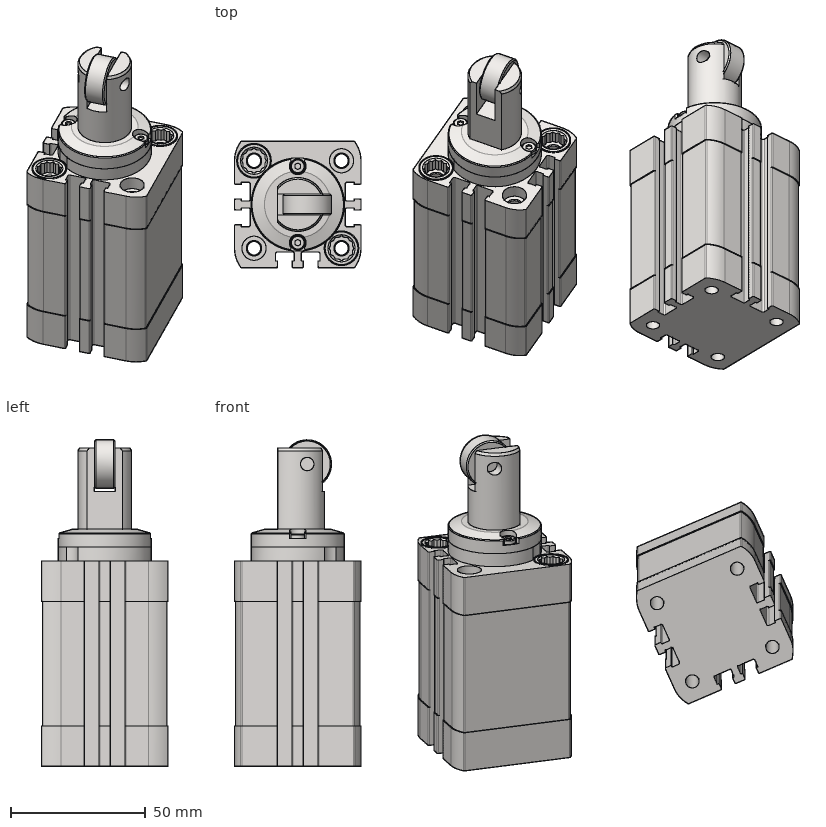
import cadquery as cq
import math

SELECT_MARGIN = 0.1

HALF_SIDE = 23.5
BODY_HEIGHT = 76.1
CAP_HEIGHT = 15.0
TUBE_INSET = 0.4
CORNER_RADIUS = 11.9
CORNER_TANGENT_Y = 16.2
CORNER_EDGE_RADIUS = 0.6
FLANGE_DIAMETER = 34.6
FLANGE_HEIGHT = 5.1
FLANGE_TOP = BODY_HEIGHT + FLANGE_HEIGHT

SLOT_MOUTH_HALF = 7.5
SLOT_INNER_HALF = 8.2
SLOT_LIP_DEPTH = 2.5
SLOT_DEPTH = 5.8
RIB_HEAD_HALF = 2.0
RIB_NECK_HALF = 1.3
SLOT_EDGE_RADIUS = 0.4
SLOT_ROOT_RADIUS = 0.6
SLOT_TURNS = (0, 90, -90)

HOLE_OFFSET = 16.2
HOLE_DIAMETER = 5.0
HOLE_MOUTH_DIAMETER = 5.7
COUNTERBORE_DIAMETER = 9.0
COUNTERBORE_DEPTH = 5.0
RIM_DIAMETER = 12.8
FLANGE_CLEARANCE_DIAMETER = 13.3
RIM_GROOVE = 0.4
SOCKET_ACROSS_FLATS = 8.0
SOCKET_MOUTH_DIAMETER = 10.0
SOCKET_MOUTH_DEPTH = 0.7
SOCKET_DEPTH = 5.2

COVER_TOP = 87.8
COVER_EDGE_Z = 86.2
COVER_EDGE_CHAMFER = 0.4
COVER_FLAT_DIAMETER = 24.7
SCREW_OFFSET = 14.2
SCREW_TURNS = (0, 180)
POCKET_DIAMETER = 6.2
POCKET_OPENING = 4.8
FLARE_START = 16.3
POCKET_FLOOR_Z = 84.3

SCREW_HEAD_DIAMETER = 5.5
SCREW_HEAD_HEIGHT = 1.7
SCREW_HEAD_CHAMFER = 0.4
SCREW_SHANK_DIAMETER = 3.0
SCREW_HEX_CORNERS = 2.4
SCREW_HEX_DEPTH = 0.7

ROD_DIAMETER = 20.0
ROD_FLAT_X = -7.5
ROD_TOP = 118.0
ROD_CHAMFER_HEIGHT = 1.1
ROD_CHAMFER_WIDTH = 0.6
FORK_WIDTH = 7.6
FORK_FLOOR_Z = 101.9
ROLLER_DIAMETER = 18.0
ROLLER_X = 3.5
OVERALL_HEIGHT = 121.0
ROLLER_Z = OVERALL_HEIGHT - ROLLER_DIAMETER / 2
ROLLER_CHAMFER = 0.5
AXLE_DIAMETER = 5.0
AXLE_LENGTH = 10.0


def cylinder(diameter, bottom, top, x=0.0, y=0.0):
    """Upright cylinder between two heights."""
    disc = cq.Workplane("XY", origin=(x, y, bottom)).circle(diameter / 2)
    return disc.extrude(top - bottom)


def cone(bottom_diameter, top_diameter, bottom, top, x=0.0, y=0.0):
    """Upright truncated cone between two heights."""
    solid = cq.Solid.makeCone(
        bottom_diameter / 2, top_diameter / 2, top - bottom, cq.Vector(x, y, bottom)
    )
    return cq.Workplane(solid)


def body_block(inset, bottom, top):
    """Square block with flat sides and arc corners, shrunk by an inset."""
    half = HALF_SIDE - inset
    radius = CORNER_RADIUS - inset
    center_x = HALF_SIDE - CORNER_RADIUS
    rise = half - CORNER_TANGENT_Y
    end_x = center_x + math.sqrt(radius**2 - rise**2)
    mid_angle = math.asin(rise / radius) / 2
    mid_x = center_x + radius * math.cos(mid_angle)
    mid_y = CORNER_TANGENT_Y + radius * math.sin(mid_angle)
    outline = (
        cq.Workplane("XY", origin=(0, 0, bottom))
        .moveTo(half, -CORNER_TANGENT_Y)
        .lineTo(half, CORNER_TANGENT_Y)
        .threePointArc((mid_x, mid_y), (end_x, half))
        .lineTo(-end_x, half)
        .threePointArc((-mid_x, mid_y), (-half, CORNER_TANGENT_Y))
        .lineTo(-half, -CORNER_TANGENT_Y)
        .threePointArc((-mid_x, -mid_y), (-end_x, -half))
        .lineTo(end_x, -half)
        .threePointArc((mid_x, -mid_y), (half, -CORNER_TANGENT_Y))
        .close()
    )
    block = outline.extrude(top - bottom)
    arc_ends = cq.selectors.BoxSelector(
        (-end_x - SELECT_MARGIN, -half - SELECT_MARGIN, bottom),
        (end_x + SELECT_MARGIN, half + SELECT_MARGIN, top),
    )
    return block.edges("|Z").edges(arc_ends).fillet(CORNER_EDGE_RADIUS)


def bar(half_width, y_range, z_range):
    """Upright bar, symmetric about X = 0, filling a range of Y and a range of Z."""
    return cq.Workplane("XY").box(
        2 * half_width, y_range[1] - y_range[0], z_range[1] - z_range[0], centered=(True, False, False)
    ).translate((0, y_range[0], z_range[0]))


def cut_t_slot(block, inset, bottom, top):
    """Cut a T-slot into the -Y side, leave its T-shaped rib and round the edges."""
    face_y = inset - HALF_SIDE
    lip_y = SLOT_LIP_DEPTH - HALF_SIDE
    floor_y = SLOT_DEPTH - HALF_SIDE
    outer, inner, height = (face_y, lip_y), (lip_y, floor_y), (bottom, top)
    void = bar(SLOT_MOUTH_HALF, outer, height).union(bar(SLOT_INNER_HALF, inner, height))
    rib = bar(RIB_HEAD_HALF, outer, height).union(bar(RIB_NECK_HALF, inner, height))
    slotted = block.cut(void.cut(rib))
    margin = SELECT_MARGIN
    face_edges = cq.selectors.BoxSelector(
        (-SLOT_MOUTH_HALF - margin, face_y - margin, bottom),
        (SLOT_MOUTH_HALF + margin, face_y + margin, top),
    )
    neck_edges = cq.selectors.BoxSelector(
        (-RIB_NECK_HALF - margin, lip_y - margin, bottom),
        (RIB_NECK_HALF + margin, floor_y + margin, top),
    )
    slotted = slotted.edges("|Z").edges(face_edges + neck_edges).fillet(SLOT_EDGE_RADIUS)
    for side in (1, -1):
        corner_x = side * SLOT_INNER_HALF
        root_edge = cq.selectors.BoxSelector(
            (corner_x - margin, floor_y - margin, bottom), (corner_x + margin, floor_y + margin, top)
        )
        slotted = slotted.edges("|Z").edges(root_edge).fillet(SLOT_ROOT_RADIUS)
    return slotted


def body_section(inset, bottom, top):
    """Stretch of the body with T-slots on three sides."""
    section = body_block(inset, bottom, top)
    for turn in SLOT_TURNS:
        turned = section.rotate((0, 0, 0), (0, 0, 1), -turn)
        section = cut_t_slot(turned, inset, bottom, top).rotate((0, 0, 0), (0, 0, 1), turn)
    return section


def stepped_hole(x, y, floor_z):
    """Through hole with a chamfered mouth at the floor of its recess."""
    mouth_depth = (HOLE_MOUTH_DIAMETER - HOLE_DIAMETER) / 2
    mouth = cone(HOLE_DIAMETER, HOLE_MOUTH_DIAMETER, floor_z - mouth_depth, floor_z, x, y)
    return cylinder(HOLE_DIAMETER, 0, floor_z, x, y).union(mouth)


def counterbored_corner(x, y):
    """Void of a plain counterbored corner hole."""
    floor_z = BODY_HEIGHT - COUNTERBORE_DEPTH
    counterbore = cylinder(COUNTERBORE_DIAMETER, floor_z, BODY_HEIGHT, x, y)
    return counterbore.union(stepped_hole(x, y, floor_z))


def socketed_corner(x, y):
    """Void of a corner hole below a twelve-point socket with a grooved rim."""
    floor_z = BODY_HEIGHT - SOCKET_DEPTH
    groove_z = BODY_HEIGHT - RIM_GROOVE
    corner_diameter = SOCKET_ACROSS_FLATS / math.cos(math.pi / 6)
    hexagon = cq.Workplane("XY").polygon(6, corner_diameter).extrude(SOCKET_DEPTH)
    socket = hexagon.union(hexagon.rotate((0, 0, 0), (0, 0, 1), 30)).translate((x, y, floor_z))
    lead_in = cone(
        SOCKET_ACROSS_FLATS, SOCKET_MOUTH_DIAMETER, BODY_HEIGHT - SOCKET_MOUTH_DEPTH, BODY_HEIGHT, x, y
    )
    rim_top_diameter = RIM_DIAMETER - 2 * RIM_GROOVE
    rim = cone(RIM_DIAMETER, rim_top_diameter, groove_z, BODY_HEIGHT, x, y)
    groove = cylinder(RIM_DIAMETER, groove_z, BODY_HEIGHT, x, y).cut(rim)
    flange_clearance = cylinder(FLANGE_CLEARANCE_DIAMETER, BODY_HEIGHT, FLANGE_TOP, x, y)
    void = socket.union(lead_in).union(stepped_hole(x, y, floor_z))
    return void.union(groove).union(flange_clearance)


def make_housing():
    """Slotted body with its flange and corner holes."""
    tube_top = BODY_HEIGHT - CAP_HEIGHT
    housing = (
        body_section(0, 0, CAP_HEIGHT)
        .union(body_section(TUBE_INSET, CAP_HEIGHT, tube_top))
        .union(body_section(0, tube_top, BODY_HEIGHT))
        .union(cylinder(FLANGE_DIAMETER, BODY_HEIGHT, FLANGE_TOP))
    )
    for side in (1, -1):
        housing = housing.cut(counterbored_corner(side * HOLE_OFFSET, side * HOLE_OFFSET))
        housing = housing.cut(socketed_corner(side * HOLE_OFFSET, -side * HOLE_OFFSET))
    return housing


def make_screw(turn):
    """Cover screw with a hexagon socket, turned about Z from the +Y side."""
    head_top = POCKET_FLOOR_Z + SCREW_HEAD_HEIGHT
    head = cylinder(SCREW_HEAD_DIAMETER, POCKET_FLOOR_Z, head_top)
    head = head.faces(">Z").edges().chamfer(SCREW_HEAD_CHAMFER)
    hexagon = cq.Workplane("XY", origin=(0, 0, head_top)).polygon(6, SCREW_HEX_CORNERS)
    hex_socket = hexagon.extrude(-SCREW_HEX_DEPTH).rotate((0, 0, 0), (0, 0, 1), 90)
    shank = cylinder(SCREW_SHANK_DIAMETER, FLANGE_TOP, POCKET_FLOOR_Z)
    screw = head.cut(hex_socket).union(shank)
    return screw.translate((0, SCREW_OFFSET, 0)).rotate((0, 0, 0), (0, 0, 1), turn)


def rod_bar(top):
    """Round bar standing on the flange, with one flat on its -X side."""
    round_bar = cylinder(ROD_DIAMETER, FLANGE_TOP, top)
    keep = cq.Workplane("XY", origin=(ROD_FLAT_X, 0, FLANGE_TOP)).box(
        ROD_DIAMETER, ROD_DIAMETER, top - FLANGE_TOP, centered=(False, True, False)
    )
    return round_bar.intersect(keep)


def screw_pocket():
    """Round screw pocket on the +Y side, with a narrower, flared gap in the outer wall."""
    depth = COVER_TOP - POCKET_FLOOR_Z
    half_gap = POCKET_OPENING / 2
    flare = FLANGE_DIAMETER / 2 - FLARE_START
    pocket = cylinder(POCKET_DIAMETER, POCKET_FLOOR_Z, COVER_TOP, 0, SCREW_OFFSET)
    opening = (
        cq.Workplane("XY", origin=(0, 0, POCKET_FLOOR_Z))
        .moveTo(-half_gap, SCREW_OFFSET)
        .lineTo(half_gap, SCREW_OFFSET)
        .lineTo(half_gap, FLARE_START)
        .lineTo(half_gap + flare, FLARE_START + flare)
        .lineTo(-half_gap - flare, FLARE_START + flare)
        .lineTo(-half_gap, FLARE_START)
        .close()
        .extrude(depth)
    )
    shank_hole = cylinder(SCREW_SHANK_DIAMETER, FLANGE_TOP, POCKET_FLOOR_Z, 0, SCREW_OFFSET)
    return pocket.union(opening).union(shank_hole)


def make_cover():
    """Conical-topped ring around the rod, with a pocket for each screw."""
    radius = FLANGE_DIAMETER / 2
    cover = (
        cq.Workplane("XZ")
        .moveTo(0, FLANGE_TOP)
        .lineTo(radius, FLANGE_TOP)
        .lineTo(radius, COVER_EDGE_Z)
        .lineTo(radius - COVER_EDGE_CHAMFER, COVER_EDGE_Z + COVER_EDGE_CHAMFER)
        .lineTo(COVER_FLAT_DIAMETER / 2, COVER_TOP)
        .lineTo(0, COVER_TOP)
        .close()
        .revolve(360, (0, 0, 0), (0, 1, 0))
    )
    for turn in SCREW_TURNS:
        cover = cover.cut(screw_pocket().rotate((0, 0, 0), (0, 0, 1), turn))
    return cover.cut(rod_bar(COVER_TOP))


def roller_axis_bar(diameter, length):
    """Round bar along Y on the roller axis, centred on the fork."""
    circle = cq.Workplane("XZ", origin=(ROLLER_X, length / 2, ROLLER_Z)).circle(diameter / 2)
    return circle.extrude(length)


def make_rod():
    """Flatted rod with a chamfered top, a fork slot and an axle hole."""
    rim_z = ROD_TOP - ROD_CHAMFER_HEIGHT
    top_diameter = ROD_DIAMETER - 2 * ROD_CHAMFER_WIDTH
    envelope = cylinder(ROD_DIAMETER, FLANGE_TOP, rim_z).union(
        cone(ROD_DIAMETER, top_diameter, rim_z, ROD_TOP)
    )
    fork_slot = cq.Workplane("XY", origin=(0, 0, FORK_FLOOR_Z)).box(
        2 * ROD_DIAMETER, FORK_WIDTH, ROD_TOP - FORK_FLOOR_Z, centered=(True, True, False)
    )
    axle_hole = roller_axis_bar(AXLE_DIAMETER, ROD_DIAMETER)
    return rod_bar(ROD_TOP).intersect(envelope).cut(fork_slot).cut(axle_hole)


def make_roller():
    """Roller filling the fork width, with short axle ends in the fork holes."""
    wheel = roller_axis_bar(ROLLER_DIAMETER, FORK_WIDTH)
    wheel = wheel.faces("<Y or >Y").edges().chamfer(ROLLER_CHAMFER)
    return wheel.union(roller_axis_bar(AXLE_DIAMETER, AXLE_LENGTH))


housing = make_housing()
cover = make_cover()
screws = [make_screw(turn) for turn in SCREW_TURNS]
rod = make_rod()
roller = make_roller()

result = cq.Compound.makeCompound(
    [housing.val(), cover.val(), *[screw.val() for screw in screws], rod.val(), roller.val()]
)